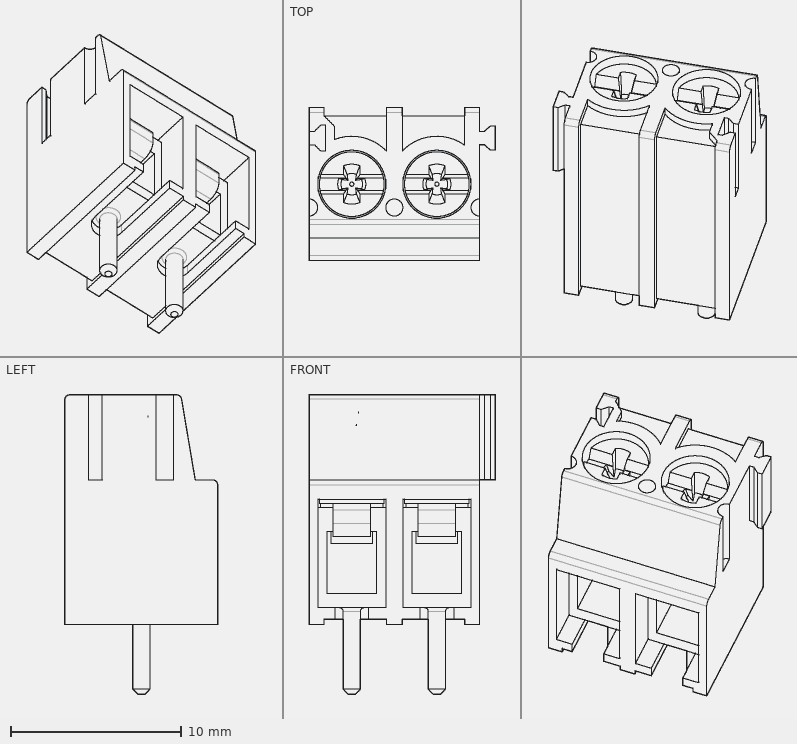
import cadquery as cq
import math


POLE_PITCH = 5.0
POLE_COUNT = 2
HOUSING_WIDTH = 10.01
HOUSING_DEPTH = 9.0
HOUSING_HEIGHT = 13.5
LEDGE_HEIGHT = 8.5
LEDGE_DEPTH = 1.32
SLOPE_TOP_Y = 2.16
EDGE_RADIUS = 0.3

FIRST_POLE_X = HOUSING_WIDTH / 2 - POLE_PITCH * (POLE_COUNT - 1) / 2
POLE_X = [FIRST_POLE_X + POLE_PITCH * i for i in range(POLE_COUNT)]
POLE_Y = 4.49

SIDE_RIB_WIDTH = 0.88
MIDDLE_RIB_WIDTH = 0.93
BAY_RECESS = 0.5
TOP_POCKET_DEPTH = 0.5
BOSS_RADIUS = 2.82
SOCKET_WALL_RUN = 0.62
FOOT_HEIGHT = 0.3

CHAMBER_WIDTH = 4.0
CHAMBER_FLOOR = 0.99
CHAMBER_TOP = 7.35
CAGE_FRONT_Y = 2.0
CAGE_BACK_Y = 2 * POLE_Y - CAGE_FRONT_Y
PIN_SLOT_WIDTH = 1.99

DOVETAIL_Y = 7.2
NECK_WIDTH = 0.8
TAIL_NECK_LENGTH = 0.28
TAIL_FLARE_END = 0.63
TAIL_WIDTH = 1.43
TAIL_LENGTH = 0.93
SOCKET_NECK_LENGTH = 0.32
SOCKET_FLARE_END = 0.69
SOCKET_WIDTH = 1.53
SOCKET_LENGTH = 0.95
GROOVE_DIAMETER = 1.0
GROOVE_Y = 3.12

CAGE_TOP = 6.88
WIRE_OPENING_WIDTH = 2.92
WIRE_OPENING_BOTTOM = 1.81
WIRE_OPENING_TOP = 5.47
WIRE_OPENING_BACK_Y = 5.98
WEDGE_WIDTH = 2.45
WEDGE_DROP = 0.72
WEDGE_RUN = 0.42
CLIP_WIDTH = 2.22
CLIP_THICKNESS = 0.3
CLIP_TOP = 7.11
CLIP_TOP_RADIUS = 0.39
CLIP_BOTTOM_RADIUS = 0.75
CLIP_TOP_BACK_Y = 2.46
CLIP_BOTTOM_BACK_Y = 3.0
PIN_DIAMETER = 1.02
PIN_BOTTOM = -4.1
PIN_TIP_DIAMETER = 0.42
PIN_TIP_HEIGHT = 0.3
PIN_ROOT_RADIUS = 0.21

SCREW_HOLE_RADIUS = CHAMBER_WIDTH / 2
SCREW_RADIUS = 1.9
SCREW_TOP = HOUSING_HEIGHT - 0.55
SCREW_NECK_RADIUS = 1.83
SCREW_NECK_TOP = CLIP_TOP
DRIVE_SLOT_TOP_WIDTH = 1.13
DRIVE_SLOT_BOTTOM_WIDTH = 0.74
DRIVE_SLOT_DEPTH = 0.81
CROSS_TOP_WIDTH = 0.95
CROSS_BOTTOM_WIDTH = 0.39
CROSS_TOP_RADIUS = 1.18
CROSS_SHOULDER_RADIUS = 0.63
CROSS_SHOULDER_DEPTH = 1.25
CROSS_TIP_RADIUS = 0.12
CROSS_DEPTH = 1.76


def box(x_min, x_max, y_min, y_max, z_min, z_max):
    """Block given by its limits along the three axes."""
    size = (x_max - x_min, y_max - y_min, z_max - z_min)
    return cq.Workplane("XY").box(*size, centered=False).translate((x_min, y_min, z_min))


def prism(points, z_min, z_max):
    """Upright prism over an XY polygon."""
    return cq.Workplane("XY").workplane(offset=z_min).polyline(points).close().extrude(z_max - z_min)


def cylinder(x, y, radius, z_min, z_max):
    """Upright cylinder."""
    return cq.Workplane("XY").workplane(offset=z_min).center(x, y).circle(radius).extrude(z_max - z_min)


def housing_block():
    """Side profile with the stepped, sloped front, drawn in YZ and extruded along X."""
    profile = [
        (0, 0),
        (HOUSING_DEPTH, 0),
        (HOUSING_DEPTH, HOUSING_HEIGHT),
        (SLOPE_TOP_Y, HOUSING_HEIGHT),
        (LEDGE_DEPTH, LEDGE_HEIGHT),
        (0, LEDGE_HEIGHT),
    ]
    block = cq.Workplane("YZ").polyline(profile).close().extrude(HOUSING_WIDTH)
    top_edges = block.faces(">Z").edges("|X")
    return top_edges.fillet(EDGE_RADIUS).faces("<Y").edges(">Z").fillet(EDGE_RADIUS)


def bay_limits():
    """X limits of the bays between the side ribs and the middle rib."""
    middle = HOUSING_WIDTH / 2
    return [
        (SIDE_RIB_WIDTH, middle - MIDDLE_RIB_WIDTH / 2),
        (middle + MIDDLE_RIB_WIDTH / 2, HOUSING_WIDTH - SIDE_RIB_WIDTH),
    ]


def top_pocket(x_min, x_max, pole_x, left_wall_run):
    """Shallow pocket behind a screw boss; its left wall may step in along a 45 degree face."""
    back_y = HOUSING_DEPTH - BAY_RECESS
    outline = [
        (x_min, back_y),
        (x_min + left_wall_run, back_y - left_wall_run),
        (x_min + left_wall_run, POLE_Y),
        (x_max, POLE_Y),
        (x_max, back_y),
    ]
    if left_wall_run == 0:
        outline.pop(0)
    z_min = HOUSING_HEIGHT - TOP_POCKET_DEPTH
    boss = cylinder(pole_x, POLE_Y, BOSS_RADIUS, z_min, HOUSING_HEIGHT)
    return prism(outline, z_min, HOUSING_HEIGHT).cut(boss)


def dovetail(neck_length, flare_end, tail_width, length):
    """Dovetail reaching from X = 0 along +X, from the ledge level to the housing top."""
    upper = [
        (0, NECK_WIDTH / 2),
        (neck_length, NECK_WIDTH / 2),
        (flare_end, tail_width / 2),
        (length, tail_width / 2),
    ]
    lower = [(x, -y) for x, y in reversed(upper)]
    return prism(upper + lower, LEDGE_HEIGHT, HOUSING_HEIGHT).translate((0, DOVETAIL_Y, 0))


def pole_cavity(pole_x):
    """Clamp chamber, screw hole and floor slot for the pin of one pole."""
    half_width = CHAMBER_WIDTH / 2
    chamber = box(pole_x - half_width, pole_x + half_width, 0, CAGE_BACK_Y, CHAMBER_FLOOR, CHAMBER_TOP)
    screw_hole = cylinder(pole_x, POLE_Y, SCREW_HOLE_RADIUS, CHAMBER_TOP, HOUSING_HEIGHT)
    slot_radius = PIN_SLOT_WIDTH / 2
    slot = box(pole_x - slot_radius, pole_x + slot_radius, 0, POLE_Y, 0, CHAMBER_FLOOR)
    slot_end = cylinder(pole_x, POLE_Y, slot_radius, 0, CHAMBER_FLOOR)
    return chamber.union(screw_hole).union(slot).union(slot_end)


def make_housing():
    """Housing with its bays, cavities, grooves and dovetail joint."""
    body = housing_block()
    left_wall_runs = [SOCKET_WALL_RUN, 0]
    for (x_min, x_max), pole_x, run in zip(bay_limits(), POLE_X, left_wall_runs):
        body = body.cut(box(x_min, x_max, HOUSING_DEPTH - BAY_RECESS, HOUSING_DEPTH, 0, HOUSING_HEIGHT))
        body = body.cut(box(x_min, x_max, 0, HOUSING_DEPTH, 0, FOOT_HEIGHT))
        body = body.cut(top_pocket(x_min, x_max, pole_x, run))
        body = body.cut(pole_cavity(pole_x))
    for groove_x in (0, HOUSING_WIDTH / 2, HOUSING_WIDTH):
        body = body.cut(cylinder(groove_x, GROOVE_Y, GROOVE_DIAMETER / 2, LEDGE_HEIGHT, HOUSING_HEIGHT))
    body = body.cut(dovetail(SOCKET_NECK_LENGTH, SOCKET_FLARE_END, SOCKET_WIDTH, SOCKET_LENGTH))
    tail = dovetail(TAIL_NECK_LENGTH, TAIL_FLARE_END, TAIL_WIDTH, TAIL_LENGTH)
    return body.union(tail.translate((HOUSING_WIDTH, 0, 0)))


def quarter_arc_middle(center_y, center_z, radius, z_sign):
    """Middle point of the front quarter arc above (+1) or below (-1) its center."""
    reach = radius * math.sqrt(0.5)
    return (center_y - reach, center_z + z_sign * reach)


def wire_clip(pole_x):
    """Strip that wraps over the top, the front and the underside of the cage's upper beam."""
    front_y = CAGE_FRONT_Y - CLIP_THICKNESS
    bottom = WIRE_OPENING_TOP - CLIP_THICKNESS
    top_center = (front_y + CLIP_TOP_RADIUS, CLIP_TOP - CLIP_TOP_RADIUS)
    bottom_center = (front_y + CLIP_BOTTOM_RADIUS, bottom + CLIP_BOTTOM_RADIUS)
    profile = (
        cq.Workplane("YZ")
        .moveTo(CLIP_TOP_BACK_Y, CLIP_TOP)
        .lineTo(top_center[0], CLIP_TOP)
        .threePointArc(quarter_arc_middle(*top_center, CLIP_TOP_RADIUS, 1), (front_y, top_center[1]))
        .lineTo(front_y, bottom_center[1])
        .threePointArc(
            quarter_arc_middle(*bottom_center, CLIP_BOTTOM_RADIUS, -1), (bottom_center[0], bottom)
        )
        .lineTo(CLIP_BOTTOM_BACK_Y, bottom)
        .lineTo(CLIP_BOTTOM_BACK_Y, WIRE_OPENING_TOP)
        .lineTo(CLIP_TOP_BACK_Y, WIRE_OPENING_TOP)
        .close()
    )
    return profile.extrude(CLIP_WIDTH / 2, both=True).translate((pole_x, 0, 0))


def wire_wedge(pole_x):
    """Sloped stop in the upper back corner of the wire opening."""
    profile = [
        (WIRE_OPENING_BACK_Y, WIRE_OPENING_TOP),
        (WIRE_OPENING_BACK_Y - WEDGE_RUN, WIRE_OPENING_TOP),
        (WIRE_OPENING_BACK_Y, WIRE_OPENING_TOP - WEDGE_DROP),
    ]
    wedge = cq.Workplane("YZ").polyline(profile).close().extrude(WEDGE_WIDTH / 2, both=True)
    return wedge.translate((pole_x, 0, 0))


def solder_pin(pole_x):
    """Round pin with a conical tip and a flared root, revolved about its own axis."""
    radius = PIN_DIAMETER / 2
    root_bottom = CHAMBER_FLOOR - PIN_ROOT_RADIUS
    flare_middle = PIN_ROOT_RADIUS * (1 - math.sqrt(0.5))
    profile = (
        cq.Workplane("XZ")
        .moveTo(0, PIN_BOTTOM)
        .lineTo(PIN_TIP_DIAMETER / 2, PIN_BOTTOM)
        .lineTo(radius, PIN_BOTTOM + PIN_TIP_HEIGHT)
        .lineTo(radius, root_bottom)
        .threePointArc(
            (radius + flare_middle, CHAMBER_FLOOR - flare_middle),
            (radius + PIN_ROOT_RADIUS, CHAMBER_FLOOR),
        )
        .lineTo(0, CHAMBER_FLOOR)
        .close()
    )
    return profile.revolve(360, (0, 0, 0), (0, 1, 0)).translate((pole_x, POLE_Y, 0))


def make_clamp(pole_x):
    """Cage with its wire opening, wedge, clip and solder pin."""
    half_width = CHAMBER_WIDTH / 2
    cage = box(
        pole_x - half_width, pole_x + half_width, CAGE_FRONT_Y, CAGE_BACK_Y, CHAMBER_FLOOR, CAGE_TOP
    )
    half_opening = WIRE_OPENING_WIDTH / 2
    opening = box(
        pole_x - half_opening,
        pole_x + half_opening,
        CAGE_FRONT_Y,
        WIRE_OPENING_BACK_Y,
        WIRE_OPENING_BOTTOM,
        WIRE_OPENING_TOP,
    )
    cage = cage.cut(opening).union(wire_wedge(pole_x))
    return cage.union(wire_clip(pole_x)).union(solder_pin(pole_x))


def tapered_slot(top_width, bottom_width, depth, length):
    """Slot along X, narrowing downwards from the screw top, centered on the Z axis."""
    profile = [
        (-top_width / 2, SCREW_TOP),
        (top_width / 2, SCREW_TOP),
        (bottom_width / 2, SCREW_TOP - depth),
        (-bottom_width / 2, SCREW_TOP - depth),
    ]
    return cq.Workplane("YZ").polyline(profile).close().extrude(length / 2, both=True)


def cross_recess():
    """Cross drive: two crossing tapered slots limited by a steep cone and a blunt tip cone."""
    profile = [
        (0, SCREW_TOP),
        (CROSS_TOP_RADIUS, SCREW_TOP),
        (CROSS_SHOULDER_RADIUS, SCREW_TOP - CROSS_SHOULDER_DEPTH),
        (CROSS_TIP_RADIUS, SCREW_TOP - CROSS_DEPTH),
        (0, SCREW_TOP - CROSS_DEPTH),
    ]
    cone = cq.Workplane("XZ").polyline(profile).close().revolve(360, (0, 0, 0), (0, 1, 0))
    arm = tapered_slot(CROSS_TOP_WIDTH, CROSS_BOTTOM_WIDTH, CROSS_DEPTH, 2 * CROSS_TOP_RADIUS)
    cross_arm = arm.rotate((0, 0, 0), (0, 0, 1), 90)
    return arm.union(cross_arm).intersect(cone)


def make_screw(pole_x):
    """Slotted screw with a slightly narrower neck that rests on the cage."""
    screw = cylinder(0, 0, SCREW_RADIUS, SCREW_NECK_TOP, SCREW_TOP)
    screw = screw.union(cylinder(0, 0, SCREW_NECK_RADIUS, CAGE_TOP, SCREW_NECK_TOP))
    slot = tapered_slot(
        DRIVE_SLOT_TOP_WIDTH, DRIVE_SLOT_BOTTOM_WIDTH, DRIVE_SLOT_DEPTH, 2 * SCREW_RADIUS
    )
    return screw.cut(slot).cut(cross_recess()).translate((pole_x, POLE_Y, 0))


housing = make_housing()
clamps = [make_clamp(pole_x) for pole_x in POLE_X]
screws = [make_screw(pole_x) for pole_x in POLE_X]

bodies = [housing, *clamps, *screws]
result = cq.Compound.makeCompound([body.solids().val() for body in bodies])